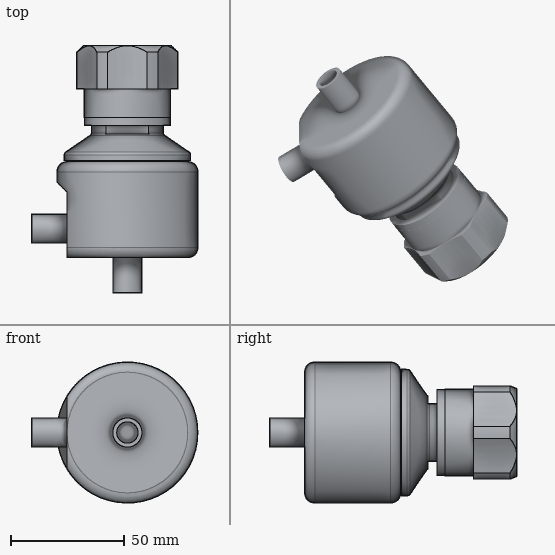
import cadquery as cq
import math


body_radius = 31.1
body_length = 42.3
body_rounding = 4.5
flat_distance = body_radius - body_rounding
flat_length = 28.9

groove_radius = 26.5
groove_width = 0.4
disc_radius = 27.9
disc_width = 3.3
disc_rounding = 1.6
cone_length = 8.3

neck_radius = 15.8
neck_rounding = 1.3
neck_flat_distance = 12.8
neck_flat_start = 54.4

sleeve_start = 58.3
sleeve_rim_width = 3.6
sleeve_rim_radius = 19.0
sleeve_radius = 19.1
nut_start = 74.4
nut_length = 19.2
nut_radius = 22.4
nut_hollow_radius = 19.4
nut_corner_width = 5.5
nut_chamfer_length = 3.0
nut_end_radius = 19.2
nut_sides = 6

pipe_radius = 6.4
bore_radius = 4.7
bore_depth = 12.5
front_pipe_length = 15.5
side_pipe_length = 15.6
side_pipe_place = 12.8

groove_start = body_length
disc_start = groove_start + groove_width
cone_start = disc_start + disc_width
neck_start = cone_start + cone_length
nut_end = nut_start + nut_length


def turned(start, length, radius):
    """Cylinder on the Y axis, growing toward +Y."""
    return cq.Workplane("XZ", origin=(0, start, 0)).circle(radius).extrude(-length)


def make_body():
    body = turned(0, body_length, body_radius).edges("%CIRCLE").fillet(body_rounding)
    ramp_end = flat_length + body_radius - flat_distance
    side_cut = (
        cq.Workplane("XY")
        .moveTo(-flat_distance, 0)
        .lineTo(-flat_distance, flat_length)
        .lineTo(-body_radius, ramp_end)
        .lineTo(-body_radius, 0)
        .close()
        .extrude(body_radius, both=True)
    )
    return body.cut(side_cut)


def make_shoulder_and_neck():
    shoulder = (
        cq.Workplane("XY")
        .moveTo(0, disc_start)
        .lineTo(disc_radius, disc_start)
        .lineTo(disc_radius, cone_start)
        .lineTo(neck_radius, neck_start)
        .lineTo(neck_radius, sleeve_start)
        .lineTo(0, sleeve_start)
        .close()
        .revolve(360, (0, 0, 0), (0, 1, 0))
    )

    def ring_at(place):
        margin = 0.1
        corner = (-nut_radius * 2, place - margin, -nut_radius * 2)
        opposite = (nut_radius * 2, place + margin, nut_radius * 2)
        return cq.selectors.BoxSelector(corner, opposite)

    shoulder = shoulder.edges(ring_at(cone_start)).fillet(disc_rounding)
    shoulder = shoulder.edges(ring_at(neck_start)).fillet(neck_rounding)

    flat_depth = disc_radius - neck_flat_distance
    flat_middle = neck_flat_distance + flat_depth / 2
    for side in (-1, 1):
        cutter = cq.Workplane("XY").box(
            2 * disc_radius, sleeve_start - neck_flat_start, flat_depth
        )
        cut_place = (0, (sleeve_start + neck_flat_start) / 2, side * flat_middle)
        shoulder = shoulder.cut(cutter.translate(cut_place))
    return shoulder


def make_nut():
    corner_half_angle = math.asin(nut_corner_width / 2 / nut_radius)
    step = 2 * math.pi / nut_sides

    def point(radius, angle):
        return radius * math.cos(angle), radius * math.sin(angle)

    outline = cq.Workplane("XZ", origin=(0, nut_start, 0))
    outline = outline.moveTo(*point(nut_radius, -corner_half_angle))
    for side in range(nut_sides):
        corner = side * step
        corner_end = point(nut_radius, corner + corner_half_angle)
        hollow = point(nut_hollow_radius, corner + step / 2)
        next_corner = point(nut_radius, corner + step - corner_half_angle)
        outline = outline.threePointArc(point(nut_radius, corner), corner_end)
        outline = outline.threePointArc(hollow, next_corner)
    nut = outline.close().extrude(-nut_length)

    chamfered_blank = (
        cq.Workplane("XY")
        .moveTo(0, nut_start)
        .lineTo(nut_radius, nut_start)
        .lineTo(nut_radius, nut_end - nut_chamfer_length)
        .lineTo(nut_end_radius, nut_end)
        .lineTo(0, nut_end)
        .close()
        .revolve(360, (0, 0, 0), (0, 1, 0))
    )
    return nut.intersect(chamfered_blank)


def add_pipe(part, face_plane, length):
    """Add a blind-bored pipe growing along the normal of the given plane."""
    pipe = cq.Workplane(face_plane).circle(pipe_radius).extrude(length)
    bore = (
        cq.Workplane(face_plane)
        .workplane(offset=length)
        .circle(bore_radius)
        .extrude(-bore_depth)
    )
    return part.union(pipe).cut(bore)


sleeve_rim_end = sleeve_start + sleeve_rim_width
front_face = cq.Plane(origin=(0, 0, 0), xDir=(1, 0, 0), normal=(0, -1, 0))
side_face = cq.Plane(
    origin=(-flat_distance, side_pipe_place, 0), xDir=(0, 1, 0), normal=(-1, 0, 0)
)

result = (
    make_body()
    .union(turned(groove_start, groove_width, groove_radius))
    .union(make_shoulder_and_neck())
    .union(turned(sleeve_start, sleeve_rim_width, sleeve_rim_radius))
    .union(turned(sleeve_rim_end, nut_start - sleeve_rim_end, sleeve_radius))
    .union(make_nut())
)
result = add_pipe(result, front_face, front_pipe_length)
result = add_pipe(result, side_face, side_pipe_length)